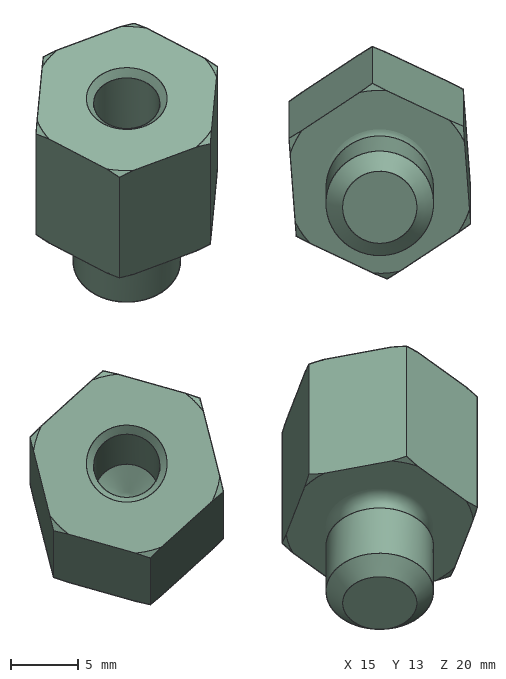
import cadquery as cq
import math

across_flats = 13.0
across_corners = across_flats / math.cos(math.pi / 6)
head_height = 12.0
head_face_diameter = 14.0
head_chamfer_angle = math.radians(22)

stud_diameter = 8.0
stud_length = 8.0
stud_chamfer = 1.25

groove_diameter = 6.2
groove_width = 2.0

hole_diameter = 4.92
hole_mouth_diameter = 6.0
hole_depth = 8.0
drill_point_angle = math.radians(118)

total_height = stud_length + head_height


def revolve_profile(profile):
    """Turn a closed (radius, height) profile about the Z axis."""
    return profile.close().revolve(360, (0, 0, 0), (0, 1, 0))


def make_head():
    """Hexagon with corners on the X axis, bevelled by a turned envelope."""
    hexagon = (
        cq.Workplane("XY")
        .workplane(offset=stud_length)
        .polygon(6, across_corners)
        .extrude(head_height)
    )
    face_radius = head_face_diameter / 2
    envelope_radius = across_corners
    bevel_drop = (envelope_radius - face_radius) * math.tan(head_chamfer_angle)
    envelope = revolve_profile(
        cq.Workplane("XZ")
        .moveTo(0, stud_length)
        .lineTo(face_radius, stud_length)
        .lineTo(envelope_radius, stud_length + bevel_drop)
        .lineTo(envelope_radius, total_height - bevel_drop)
        .lineTo(face_radius, total_height)
        .lineTo(0, total_height)
    )
    return hexagon.intersect(envelope)


def make_stud():
    """Turned stud with a chamfered tip and a rounded relief groove."""
    radius = stud_diameter / 2
    groove_bottom = stud_length - groove_width
    groove_middle = stud_length - groove_width / 2
    return revolve_profile(
        cq.Workplane("XZ")
        .moveTo(0, 0)
        .lineTo(radius - stud_chamfer, 0)
        .lineTo(radius, stud_chamfer)
        .lineTo(radius, groove_bottom)
        .threePointArc((groove_diameter / 2, groove_middle), (radius, stud_length))
        .lineTo(0, stud_length)
    )


def make_hole():
    """Blind hole with a 45 degree countersink and a conical drill point."""
    radius = hole_diameter / 2
    mouth_radius = hole_mouth_diameter / 2
    countersink_depth = mouth_radius - radius
    hole_floor = total_height - hole_depth
    point_depth = radius / math.tan(drill_point_angle / 2)
    return revolve_profile(
        cq.Workplane("XZ")
        .moveTo(0, total_height)
        .lineTo(mouth_radius, total_height)
        .lineTo(radius, total_height - countersink_depth)
        .lineTo(radius, hole_floor)
        .lineTo(0, hole_floor - point_depth)
    )


result = make_head().union(make_stud()).cut(make_hole())